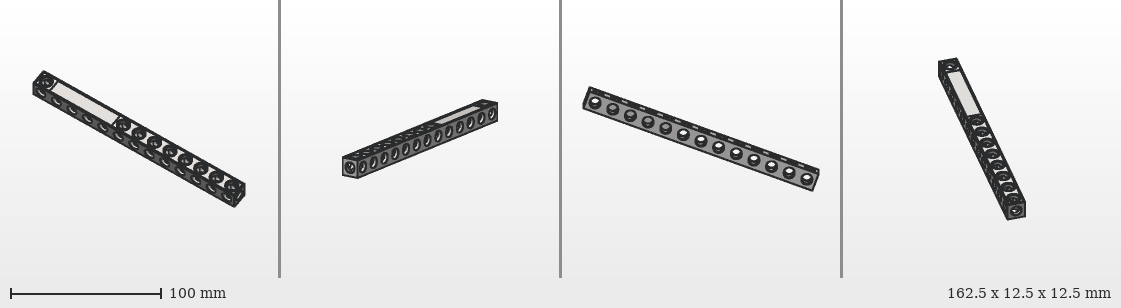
import cadquery as cq


length = 162.5
block_count = 13
pitch = length / block_count
half_height = pitch / 2
edge_chamfer = 0.31

hole_diameter = 7.0
hole_radius = hole_diameter / 2

rim_width = 1.1
recess_depth = 0.2
collar_diameter = 9.3

first_label_block = 1
label_block_count = 4
label_depth = 0.75
label_roof = 1.6

block_centres = [(pitch * (i - (block_count - 1) / 2), 0) for i in range(block_count)]
label_end = first_label_block + label_block_count
label_blocks = block_centres[first_label_block:label_end]
open_blocks = block_centres[:first_label_block] + block_centres[label_end:]
label_centre_x = (label_blocks[0][0] + label_blocks[-1][0]) / 2


def mouth_chamfer(height, inward):
    """Cone that chamfers a hole mouth at the given height, narrowing along +Z (1) or -Z (-1)."""
    return cq.Workplane(
        cq.Solid.makeCone(
            hole_radius + edge_chamfer,
            hole_radius,
            edge_chamfer,
            cq.Vector(0, 0, height),
            cq.Vector(0, 0, inward),
        )
    )


def through_drill(depth):
    """Cutter for a through hole of the given depth, chamfered at both mouths."""
    drill = cq.Workplane("XY").circle(hole_radius).extrude(depth / 2, both=True)
    return drill.union(mouth_chamfer(depth / 2, -1)).union(mouth_chamfer(-depth / 2, 1))


def blind_drill():
    """Cutter for a hole that enters from the bottom and stops under the label panel."""
    drill = cq.Workplane("XY").workplane(offset=-half_height).circle(hole_radius).extrude(pitch - label_roof)
    return drill.union(mouth_chamfer(-half_height, 1))


def drills_at(plane, centres, drill):
    """Copies of a drill at the given points, aimed along the normal of the plane."""
    return cq.Workplane(plane).pushPoints(centres).eachpoint(drill.val(), combine=False)


def top_plane(depth):
    """Workplane at a depth below the top face, for pockets cut up to that face."""
    return cq.Workplane("XY").workplane(offset=half_height - depth)


def top_recess():
    """Shallow recess within the rim, leaving the collars standing."""
    inner_width = pitch - 2 * rim_width
    recess = top_plane(recess_depth).rect(length - 2 * rim_width, inner_width).extrude(recess_depth)
    collars = top_plane(recess_depth).pushPoints(open_blocks).circle(collar_diameter / 2).extrude(recess_depth)
    return recess.cut(collars)


def label_pocket():
    """Flat-bottomed pocket for the label, as wide as the recess and exactly as long as its blocks."""
    return (
        top_plane(label_depth)
        .center(label_centre_x, 0)
        .rect(label_block_count * pitch, pitch - 2 * rim_width)
        .extrude(label_depth)
    )


beam = cq.Workplane("XY").box(length, pitch, pitch).edges().chamfer(edge_chamfer)

beam = beam.cut(drills_at("YZ", [(0, 0)], through_drill(length)))
beam = beam.cut(drills_at("XZ", block_centres, through_drill(pitch)))
beam = beam.cut(drills_at("XY", open_blocks, through_drill(pitch)))
beam = beam.cut(drills_at("XY", label_blocks, blind_drill()))

beam = beam.cut(top_recess())
beam = beam.cut(label_pocket())

result = beam